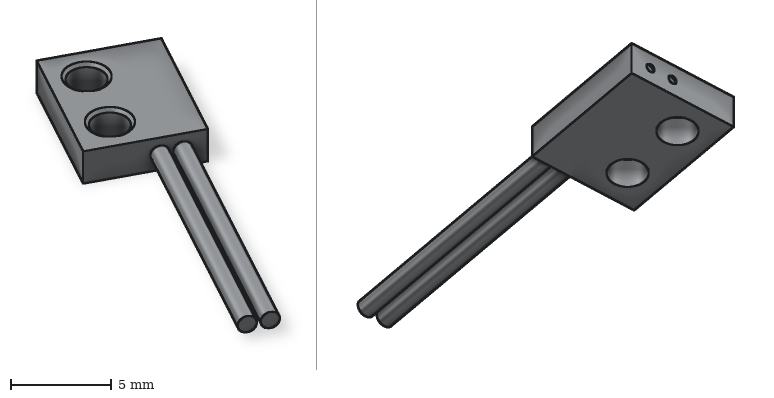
import cadquery as cq

body_length = 8.0
body_width = 6.5
body_height = 2.0
mid_height = body_height / 2

hole_diameter = 2.1
hole_chamfer = 0.2
hole_edge_distance = 2.0
hole_spacing = 4.0
hole_count = 2
countersink_angle = 90

overall_length = 23.0
wire_length = overall_length - body_length
wire_diameter = 1.0
wire_spacing = 1.2
pair_edge_distance = 1.9
pair_center_y = body_width - pair_edge_distance

recess_diameter = 0.5
recess_spacing = 1.4
recess_depth = 0.1


def pair_about_wire_axis(spacing):
    """Y positions of two features placed evenly about the wire pair's axis."""
    return [pair_center_y - spacing / 2, pair_center_y + spacing / 2]


def rod_along_x(diameter, length, start_x, center_y):
    """Cylinder running in +X at the body's mid height."""
    start = cq.Vector(start_x, center_y, mid_height)
    return cq.Workplane(cq.Solid.makeCylinder(diameter / 2, length, start, cq.Vector(1, 0, 0)))


def make_body():
    return cq.Workplane("XY").box(body_length, body_width, body_height, centered=False)


def cut_mounting_holes(part):
    centers = [(hole_edge_distance + i * hole_spacing, hole_edge_distance) for i in range(hole_count)]
    rim_diameter = hole_diameter + 2 * hole_chamfer
    return (
        part.faces(">Z")
        .workplane(origin=(0, 0, body_height))
        .pushPoints(centers)
        .cskHole(hole_diameter, rim_diameter, countersink_angle)
    )


def add_wires(part):
    for center_y in pair_about_wire_axis(wire_spacing):
        part = part.union(rod_along_x(wire_diameter, wire_length, body_length, center_y))
    return part


def cut_recesses(part):
    for center_y in pair_about_wire_axis(recess_spacing):
        part = part.cut(rod_along_x(recess_diameter, recess_depth, 0, center_y))
    return part


result = cut_recesses(add_wires(cut_mounting_holes(make_body())))